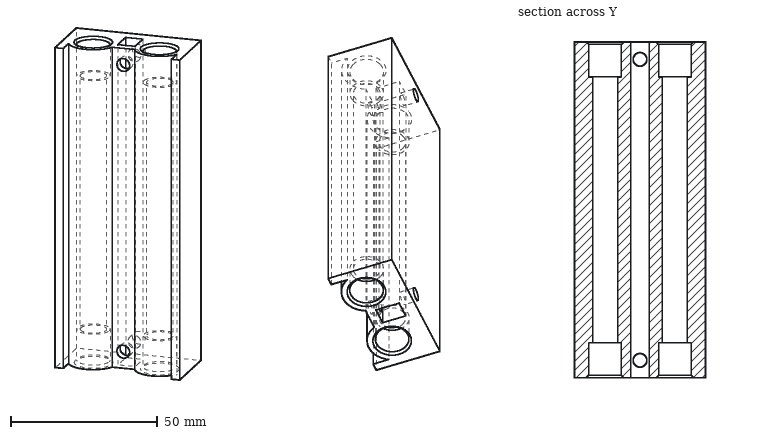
import cadquery as cq
import math

WIDTH = 45.0
DEPTH = 23.5
LENGTH = 115.0
FRONT_Y = -DEPTH / 2
BACK_Y = DEPTH / 2

LEG_WIDTH = 3.0
LEG_INNER_X = WIDTH / 2 - LEG_WIDTH
WEB_Y = BACK_Y - 16.9
LOBE_RADIUS = 8.6

BORE_X = 12.0
BORE_Y = BACK_Y - 13.5
BORE_DIAMETER = 9.1
PORT_DIAMETER = 11.5
PORT_DEPTH = 12.0
PORT_MOUTH_DIAMETER = 13.2
PORT_CHAMFER = (PORT_MOUTH_DIAMETER - PORT_DIAMETER) / 2

CHANNEL_WIDTH = 6.2
CHANNEL_DEPTH = 8.5
CHANNEL_BACK_WALL = 5.0
CHANNEL_Y = BACK_Y - CHANNEL_BACK_WALL - CHANNEL_DEPTH / 2

MOUNT_DIAMETER = 4.6
MOUNT_END_DISTANCE = 6.0
MOUNT_Z = LENGTH / 2 - MOUNT_END_DISTANCE


def make_body():
    """Extrude the section: a plain back, two front legs and two round lobes."""
    leg_meet_y = BORE_Y - math.sqrt(LOBE_RADIUS**2 - (LEG_INNER_X - BORE_X) ** 2)
    web_meet_x = BORE_X - math.sqrt(LOBE_RADIUS**2 - (WEB_Y - BORE_Y) ** 2)
    lobe_tip_y = BORE_Y - LOBE_RADIUS
    return (
        cq.Workplane("XY")
        .workplane(offset=-LENGTH / 2)
        .moveTo(-WIDTH / 2, BACK_Y)
        .lineTo(-WIDTH / 2, FRONT_Y)
        .lineTo(-LEG_INNER_X, FRONT_Y)
        .lineTo(-LEG_INNER_X, leg_meet_y)
        .threePointArc((-BORE_X, lobe_tip_y), (-web_meet_x, WEB_Y))
        .lineTo(web_meet_x, WEB_Y)
        .threePointArc((BORE_X, lobe_tip_y), (LEG_INNER_X, leg_meet_y))
        .lineTo(LEG_INNER_X, FRONT_Y)
        .lineTo(WIDTH / 2, FRONT_Y)
        .lineTo(WIDTH / 2, BACK_Y)
        .close()
        .extrude(LENGTH)
    )


def make_bore(x):
    """Solid to cut for one bore: half its stepped profile, revolved about its axis."""
    end_z = LENGTH / 2
    shoulder_z = end_z - PORT_DEPTH
    chamfer_z = end_z - PORT_CHAMFER
    upper_profile = [
        (BORE_DIAMETER / 2, shoulder_z),
        (PORT_DIAMETER / 2, shoulder_z),
        (PORT_DIAMETER / 2, chamfer_z),
        (PORT_MOUTH_DIAMETER / 2, end_z),
    ]
    lower_profile = [(radius, -z) for radius, z in reversed(upper_profile)]
    return (
        cq.Workplane("XZ")
        .polyline([(0, -end_z)] + lower_profile + upper_profile + [(0, end_z)])
        .close()
        .revolve(360, (0, 0, 0), (0, 1, 0))
        .translate((x, BORE_Y, 0))
    )


def make_channel():
    """Solid to cut for the rectangular channel."""
    return cq.Workplane("XY").box(CHANNEL_WIDTH, CHANNEL_DEPTH, LENGTH).translate((0, CHANNEL_Y, 0))


def make_mount_hole(z):
    """Solid to cut for one mounting hole, right through along Y."""
    return cq.Workplane("XZ").center(0, z).circle(MOUNT_DIAMETER / 2).extrude(DEPTH / 2, both=True)


result = make_body().cut(make_channel())
for side in (-1, 1):
    result = result.cut(make_bore(side * BORE_X))
    result = result.cut(make_mount_hole(side * MOUNT_Z))